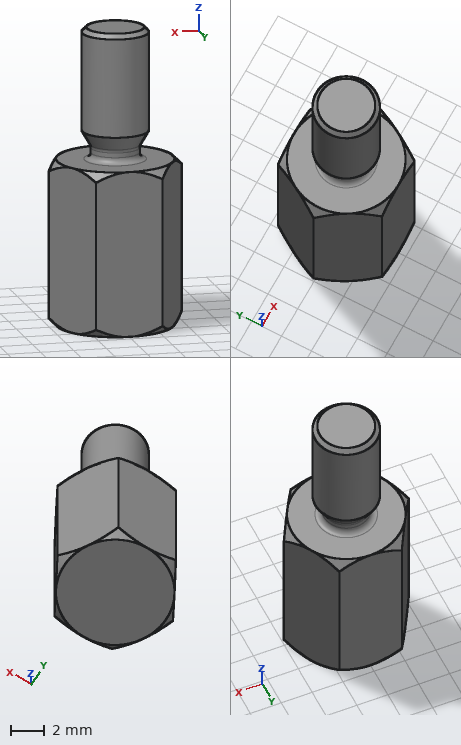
import cadquery as cq
import math

total_height = 18.0
across_flats = 7.0
across_corners = across_flats / math.cos(math.radians(30))
body_height = 10.0

corner_chamfer_height = 0.54

stud_radius = 4.0 / 2
tip_chamfer = 0.29

neck_radius = 2.9 / 2
relief_fillet = 0.4
relief_straight = 0.29
relief_taper_angle = 30.0


def hex_body():
    hexagon = cq.Workplane("XY").polygon(6, across_corners).extrude(body_height)
    flat_radius = across_flats / 2
    corner_radius = across_corners / 2
    envelope = (
        cq.Workplane("XZ")
        .moveTo(0, 0)
        .lineTo(flat_radius, 0)
        .lineTo(corner_radius, corner_chamfer_height)
        .lineTo(corner_radius, body_height - corner_chamfer_height)
        .lineTo(flat_radius, body_height)
        .lineTo(0, body_height)
        .close()
        .revolve(360, (0, 0, 0), (0, 1, 0))
    )
    return hexagon.intersect(envelope)


def stud():
    taper_angle = math.radians(relief_taper_angle)
    straight_start = body_height + relief_fillet
    straight_end = straight_start + relief_straight
    fillet_center_radius = neck_radius + relief_fillet

    def fillet_point(center_height, angle):
        """Point on a relief fillet, at an angle above the inward horizontal."""
        return (
            fillet_center_radius - relief_fillet * math.cos(angle),
            center_height + relief_fillet * math.sin(angle),
        )

    taper_start_radius, taper_start = fillet_point(straight_end, taper_angle)
    taper_end = taper_start + (stud_radius - taper_start_radius) / math.tan(taper_angle)
    return (
        cq.Workplane("XZ")
        .moveTo(0, body_height)
        .lineTo(fillet_center_radius, body_height)
        .threePointArc(
            fillet_point(straight_start, math.radians(-45)),
            (neck_radius, straight_start),
        )
        .lineTo(neck_radius, straight_end)
        .threePointArc(
            fillet_point(straight_end, taper_angle / 2),
            (taper_start_radius, taper_start),
        )
        .lineTo(stud_radius, taper_end)
        .lineTo(stud_radius, total_height - tip_chamfer)
        .lineTo(stud_radius - tip_chamfer, total_height)
        .lineTo(0, total_height)
        .close()
        .revolve(360, (0, 0, 0), (0, 1, 0))
    )


result = hex_body().union(stud())